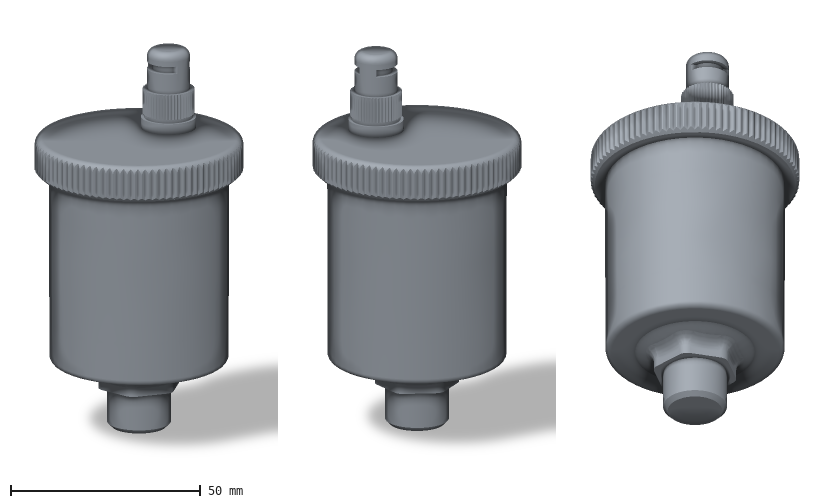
import cadquery as cq
import math

total_height = 101.3
hex_bottom = 11.2
cup_bottom = 18.0
cap_bottom = 69.9
cap_top = 79.5
collar_top = 82.5
grip_bottom = 83.5
grip_top = 90.3

spigot_radius = 8.4
spigot_chamfer = 1.2
hex_across_flats = 20.1
hex_corner_fillet = 2.8

cup_top_radius = 23.7
cup_bottom_radius = 23.6
cup_fillet = 1.5
neck_top_radius = 15.8
neck_bottom_height = 15.7
neck_fillet = 3.3
neck_zone_margin = 0.5

cap_diameter = 55.0
cap_radius = cap_diameter / 2
cap_fillet = 2.0
cap_chamfer = 1.1
cap_tooth_count = 90
cap_tooth_depth = 0.6
cap_crest_trim = 0.1

valve_offset_y = 12.0
collar_radius = 7.3
throat_radius = 6.5
grip_radius = 6.9
grip_tooth_count = 48
grip_tooth_depth = 0.4
stem_radius = 5.7
stem_fillet = 2.1
groove_bottom = 95.7
groove_top = 97.8
groove_core_radius = 4.4
bridge_width = 4.8


def cylinder(radius, bottom, top):
    return cq.Workplane("XY").workplane(offset=bottom).circle(radius).extrude(top - bottom)


def toothed_cylinder(radius, tooth_count, tooth_depth, bottom, top):
    """Cylinder with straight V-shaped teeth whose crests lie on the given radius."""
    points = []
    for i in range(2 * tooth_count):
        angle = math.pi * i / tooth_count
        point_radius = radius - tooth_depth * (i % 2)
        points.append((point_radius * math.cos(angle), point_radius * math.sin(angle)))
    return cq.Workplane("XY").workplane(offset=bottom).polyline(points).close().extrude(top - bottom)


def make_spigot():
    return cylinder(spigot_radius, 0, hex_bottom).faces("<Z").chamfer(spigot_chamfer)


def make_hexagon():
    """Hexagon with two corners on the X axis, reaching up to the cup floor."""
    across_corners = hex_across_flats / math.cos(math.pi / 6)
    return (
        cq.Workplane("XY")
        .workplane(offset=hex_bottom)
        .polygon(6, across_corners)
        .extrude(cup_bottom - hex_bottom)
        .edges("|Z")
        .fillet(hex_corner_fillet)
    )


def make_cone():
    """Cone that spreads from the flats of the hexagon to the cup floor."""
    return (
        cq.Workplane("XZ")
        .moveTo(0, neck_bottom_height)
        .lineTo(hex_across_flats / 2, neck_bottom_height)
        .lineTo(neck_top_radius, cup_bottom)
        .lineTo(0, cup_bottom)
        .close()
        .revolve(360, (0, 0, 0), (0, 1, 0))
    )


def make_neck():
    """Hexagon and cone, blended by a fillet along the line where they meet."""
    neck = make_hexagon().union(make_cone())
    meeting_zone = cq.selectors.BoxSelector(
        (-hex_across_flats, -hex_across_flats, neck_bottom_height - neck_zone_margin),
        (hex_across_flats, hex_across_flats, cup_bottom - neck_zone_margin),
    )
    return neck.edges(meeting_zone).fillet(neck_fillet)


def make_cup():
    """Tapered cup, rounded at its lower rim."""
    return (
        cq.Workplane("XZ")
        .moveTo(0, cup_bottom)
        .lineTo(cup_bottom_radius, cup_bottom)
        .lineTo(cup_top_radius, cap_bottom)
        .lineTo(0, cap_bottom)
        .close()
        .revolve(360, (0, 0, 0), (0, 1, 0))
        .faces("<Z")
        .edges()
        .fillet(cup_fillet)
    )


def make_cap():
    """Toothed disc whose crests are trimmed by a disc with a rounded top and a chamfered bottom rim."""
    envelope = cylinder(cap_radius, cap_bottom, cap_top)
    envelope = envelope.faces(">Z").edges().fillet(cap_fillet)
    envelope = envelope.faces("<Z").edges().chamfer(cap_chamfer)
    teeth = toothed_cylinder(
        cap_radius + cap_crest_trim,
        cap_tooth_count,
        cap_tooth_depth + cap_crest_trim,
        cap_bottom,
        cap_top,
    )
    return teeth.intersect(envelope)


def make_stem():
    """Valve stem with a groove interrupted by two bridges on the X sides."""
    stem = cylinder(stem_radius, grip_top, total_height).faces(">Z").edges().fillet(stem_fillet)
    groove = cylinder(stem_radius, groove_bottom, groove_top)
    core = cylinder(groove_core_radius, groove_bottom, groove_top)
    bridges = (
        cq.Workplane("XY")
        .workplane(offset=groove_bottom)
        .rect(2 * stem_radius, bridge_width)
        .extrude(groove_top - groove_bottom)
    )
    return stem.cut(groove.cut(core).cut(bridges))


def make_valve():
    collar = cylinder(collar_radius, cap_top, collar_top)
    throat = cylinder(throat_radius, collar_top, grip_bottom)
    grip = toothed_cylinder(grip_radius, grip_tooth_count, grip_tooth_depth, grip_bottom, grip_top)
    valve = collar.union(throat).union(grip).union(make_stem())
    return valve.translate((0, valve_offset_y, 0))


result = (
    make_spigot()
    .union(make_neck())
    .union(make_cup())
    .union(make_cap())
    .union(make_valve())
)